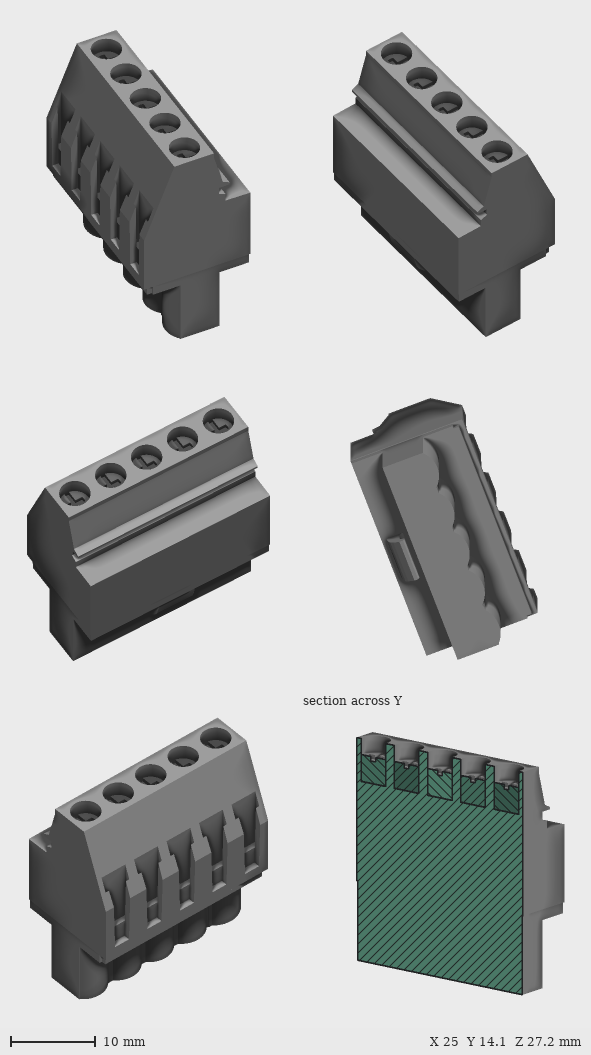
import cadquery as cq


POLES = 5
LENGTH = 25.0
HEIGHT = 27.2
DEPTH = 14.05
PITCH = LENGTH / POLES
POLE_CENTERS = [(i - (POLES - 1) / 2) * PITCH for i in range(POLES)]

BLOCK_BOTTOM = 9.65
SLOPE_BOTTOM = 17.27
TOP_FRONT = 4.0
TOP_BACK = 9.25
BACK_SLOPE_TOP = 26.5
LIP_ROOT = (10.4, 22.33)
LIP_TIP_Y = 11.32
LIP_TIP_TOP = 21.87
LIP_UNDERSIDE = 21.57
NOTCH_Y = 9.93
NOTCH_RAMP_TOP = 20.62
NOTCH_RAMP_BOTTOM = 20.25
STEP_Y = 10.8
REAR_LEDGE = 19.25
REAR_LEDGE_EDGE = 19.18

FLANGE_BOTTOM = 8.32
FLANGE_LENGTH = 24.8
FLANGE_FRONT = 0.6
FLANGE_BACK = 13.95
CORNER_NOTCH_X = 0.33
CORNER_NOTCH_Y = 0.63

PLUG_BACK = 10.05
PLUG_FACE = 4.95
RIB_FRONT = TOP_FRONT
RIB_WIDTH = 4.38
PLUG_EDGE = 0.08
FACE_STEP = 0.1
FACE_STEP_X = 7.45

HOOK_WIDTH = PITCH
HOOK_OUTER_ROOT_Y = 13.33
HOOK_OUTER_MID = (13.2, 6.85)
HOOK_OUTER_KNEE = (12.85, 5.45)
HOOK_OUTER_BEND = (12.45, 4.8)
HOOK_TIP_BOTTOM = 4.0
HOOK_TIP_OUTER_Y = 11.7
HOOK_TIP_INNER_Y = 11.23
HOOK_NOSE_Y = 11.07
HOOK_NOSE_BOTTOM = 4.4
HOOK_NOSE_TOP = 4.85
HOOK_SHANK_Y = 11.7
HOOK_SHANK_BOTTOM = 5.45
HOOK_SHANK_TOP = 7.3
HOOK_FILLET_MID = (11.55, 7.83)
HOOK_INNER_ROOT_Y = 11.3

CAVITY_WIDTH = 3.65
CAVITY_FRONT = 0.85
CAVITY_BACK = 1.58
CAVITY_FLOOR = 13.22
SLOT_BOTTOM = 10.88
SLOT_BOTTOM_WIDTH = 2.15
SLOT_TOP_WIDTH = 2.6

SCREW_DIAMETER = 3.7
SCREW_Y = (TOP_FRONT + TOP_BACK) / 2
SCREW_RECESS = 1.95
SCREW_LENGTH = 3.26
DRIVE_DEPTH = 0.55
LONG_SLOT_WIDTH = 0.63
SHORT_SLOT_WIDTH = 0.73
SHORT_SLOT_LENGTH = 2.55


def extrude_along_x(outline, width):
    """Extrude a closed YZ outline symmetrically about X = 0."""
    return outline.extrude(width / 2, both=True)


def box(x_min, x_max, y_min, y_max, z_min, z_max):
    size = (x_max - x_min, y_max - y_min, z_max - z_min)
    return cq.Workplane("XY").box(*size, centered=False).translate((x_min, y_min, z_min))


def make_block():
    outline = (
        cq.Workplane("YZ")
        .moveTo(0, BLOCK_BOTTOM)
        .lineTo(0, SLOPE_BOTTOM)
        .lineTo(TOP_FRONT, HEIGHT)
        .lineTo(TOP_BACK, HEIGHT)
        .lineTo(TOP_BACK, BACK_SLOPE_TOP)
        .lineTo(*LIP_ROOT)
        .lineTo(LIP_TIP_Y, LIP_TIP_TOP)
        .lineTo(LIP_TIP_Y, LIP_UNDERSIDE)
        .lineTo(NOTCH_Y, LIP_UNDERSIDE)
        .lineTo(NOTCH_Y, NOTCH_RAMP_TOP)
        .lineTo(STEP_Y, NOTCH_RAMP_BOTTOM)
        .lineTo(STEP_Y, REAR_LEDGE)
        .lineTo(DEPTH, REAR_LEDGE_EDGE)
        .lineTo(DEPTH, BLOCK_BOTTOM)
        .close()
    )
    return extrude_along_x(outline, LENGTH)


def make_flange():
    half = FLANGE_LENGTH / 2
    shoulder_y = FLANGE_FRONT + CORNER_NOTCH_Y
    back_part = box(-half, half, shoulder_y, FLANGE_BACK, FLANGE_BOTTOM, BLOCK_BOTTOM)
    front_half = half - CORNER_NOTCH_X
    front_part = box(-front_half, front_half, FLANGE_FRONT, shoulder_y, FLANGE_BOTTOM, BLOCK_BOTTOM)
    return back_part.union(front_part)


def make_plug():
    half = FLANGE_LENGTH / 2
    end_rib_x = half - PLUG_EDGE - RIB_WIDTH / 2
    rib_centers = [-end_rib_x, *POLE_CENTERS[1:-1], end_rib_x]
    outline = cq.Workplane("XY").moveTo(-half, PLUG_BACK).lineTo(-half, PLUG_FACE)
    face_y = PLUG_FACE
    for rib_x in rib_centers:
        if rib_x == end_rib_x:
            outline = outline.lineTo(FACE_STEP_X, face_y)
            face_y = PLUG_FACE - FACE_STEP
            outline = outline.lineTo(FACE_STEP_X, face_y)
        outline = outline.lineTo(rib_x - RIB_WIDTH / 2, face_y)
        outline = outline.threePointArc((rib_x, RIB_FRONT), (rib_x + RIB_WIDTH / 2, face_y))
    outline = outline.lineTo(half, face_y).lineTo(half, PLUG_BACK).close()
    return outline.extrude(FLANGE_BOTTOM)


def make_hook():
    outline = (
        cq.Workplane("YZ")
        .moveTo(HOOK_OUTER_ROOT_Y, FLANGE_BOTTOM)
        .threePointArc(HOOK_OUTER_MID, HOOK_OUTER_KNEE)
        .lineTo(*HOOK_OUTER_BEND)
        .lineTo(HOOK_TIP_OUTER_Y, HOOK_TIP_BOTTOM)
        .lineTo(HOOK_TIP_INNER_Y, HOOK_TIP_BOTTOM)
        .lineTo(HOOK_NOSE_Y, HOOK_NOSE_BOTTOM)
        .lineTo(HOOK_NOSE_Y, HOOK_NOSE_TOP)
        .lineTo(HOOK_SHANK_Y, HOOK_SHANK_BOTTOM)
        .lineTo(HOOK_SHANK_Y, HOOK_SHANK_TOP)
        .threePointArc(HOOK_FILLET_MID, (HOOK_INNER_ROOT_Y, FLANGE_BOTTOM))
        .close()
    )
    return extrude_along_x(outline, HOOK_WIDTH)


def make_conductor_opening(pole_x):
    """A wide cavity that breaks out through the sloped face, behind a tapered front slot."""
    half_cavity = CAVITY_WIDTH / 2
    cavity = box(pole_x - half_cavity, pole_x + half_cavity, CAVITY_FRONT, CAVITY_BACK, CAVITY_FLOOR, HEIGHT)
    slot_top = SLOPE_BOTTOM + CAVITY_FRONT * (HEIGHT - SLOPE_BOTTOM) / TOP_FRONT
    slot = (
        cq.Workplane("XZ")
        .moveTo(pole_x - SLOT_BOTTOM_WIDTH / 2, SLOT_BOTTOM)
        .lineTo(pole_x + SLOT_BOTTOM_WIDTH / 2, SLOT_BOTTOM)
        .lineTo(pole_x + SLOT_TOP_WIDTH / 2, slot_top)
        .lineTo(pole_x - SLOT_TOP_WIDTH / 2, slot_top)
        .close()
        .extrude(-CAVITY_FRONT)
    )
    return cavity.union(slot)


def make_screw_hole(pole_x):
    hole_depth = SCREW_RECESS + SCREW_LENGTH
    return (
        cq.Workplane("XY")
        .center(pole_x, SCREW_Y)
        .circle(SCREW_DIAMETER / 2)
        .extrude(hole_depth)
        .translate((0, 0, HEIGHT - hole_depth))
    )


def make_housing():
    housing = make_block().union(make_flange()).union(make_plug()).union(make_hook())
    for pole_x in POLE_CENTERS:
        housing = housing.cut(make_conductor_opening(pole_x))
        housing = housing.cut(make_screw_hole(pole_x))
    return housing


def make_screw(pole_x):
    """A headless screw with a cross of one full-width slot and one short slot with round ends."""
    drive_bottom = SCREW_LENGTH - DRIVE_DEPTH
    screw = cq.Workplane("XY").circle(SCREW_DIAMETER / 2).extrude(SCREW_LENGTH)
    drive = cq.Workplane("XY").workplane(offset=drive_bottom)
    long_slot = drive.rect(LONG_SLOT_WIDTH, SCREW_DIAMETER).extrude(DRIVE_DEPTH)
    short_slot = drive.rect(SHORT_SLOT_LENGTH, SHORT_SLOT_WIDTH).extrude(DRIVE_DEPTH)
    short_slot = short_slot.intersect(drive.circle(SHORT_SLOT_LENGTH / 2).extrude(DRIVE_DEPTH))
    screw = screw.cut(long_slot).cut(short_slot)
    return screw.translate((pole_x, SCREW_Y, HEIGHT - SCREW_RECESS - SCREW_LENGTH))


housing = make_housing()
screws = [make_screw(pole_x) for pole_x in POLE_CENTERS]

result = cq.Compound.makeCompound([housing.val(), *[screw.val() for screw in screws]])